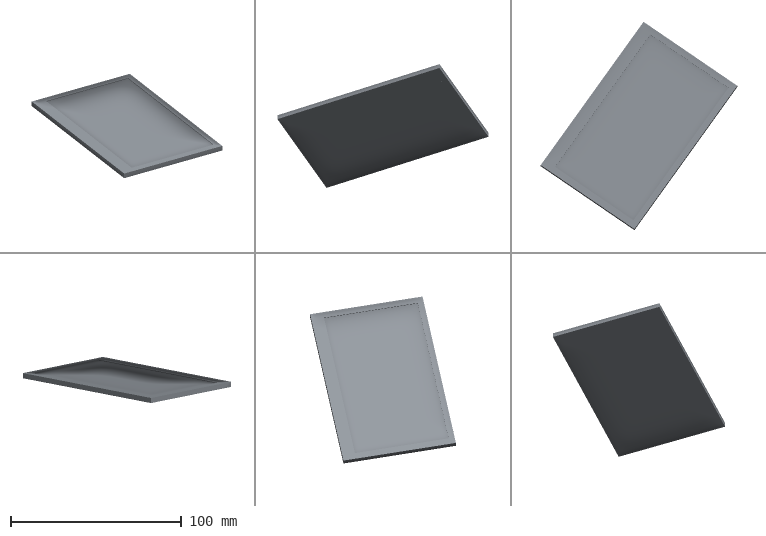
import cadquery as cq

length = 105.0
width = 67.0
thickness = 3.0

side_border = 4.0
back_border = 3.6
front_border = 7.6
window_length = length - 2 * side_border
window_width = width - back_border - front_border
window_center_y = (front_border - back_border) / 2

screen_recess = 0.3
screen_thickness = thickness - screen_recess


def window_block(height):
    """Block with the outline of the window, standing on the bottom plane."""
    return (
        cq.Workplane("XY")
        .center(0, window_center_y)
        .rect(window_length, window_width)
        .extrude(height)
    )


def make_frame():
    """Rectangular plate with the window cut through it."""
    plate = cq.Workplane("XY").rect(length, width).extrude(thickness)
    return plate.cut(window_block(thickness))


def make_screen():
    """Flat panel that fills the window up to the recess."""
    return window_block(screen_thickness)


frame = make_frame()
screen = make_screen()

result = cq.Compound.makeCompound([frame.val(), screen.val()])